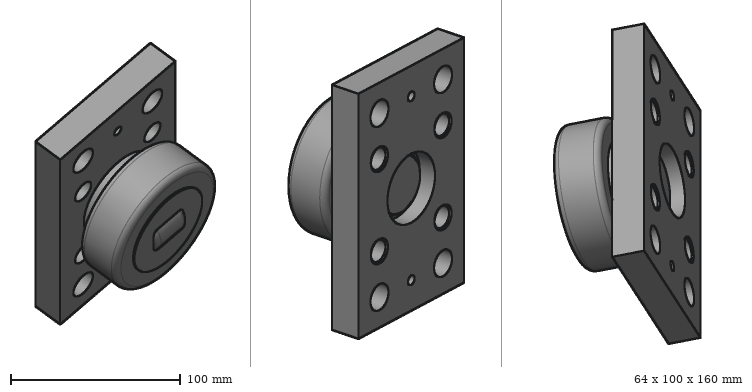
import cadquery as cq

plate_thickness = 20.0
plate_width = 100.0
plate_height = 160

hole_y = 30.0
outer_hole_z = 60.0
inner_hole_z = hole_y
outer_hole_diameter = 17.0
dowel_hole_diameter = 6.0
tapped_hole_diameter = 14.0
tapped_mouth_diameter = 16
tapped_chamfer = (tapped_mouth_diameter - tapped_hole_diameter) / 2

recess_diameter = 45.0
recess_depth = 11.5
pin_diameter = 40.6
pin_chamfer = 2.2
pin_chamfer_length = 3.8

hub_diameter = 59.0
roller_diameter = 88.3
roller_gap = 10.0
roller_width = 29.8
roller_fillet = 4.0
cap_height = 1.0

overall_depth = 64
axial_roller_diameter = 31.0
axial_roller_length = 26.0
axial_roller_fillet = 3.0

roller_start = plate_thickness + roller_gap
roller_end = roller_start + roller_width
cap_end = roller_end + cap_height


def disc(start, length, diameter):
    """Cylinder along +X beginning at the given X position."""
    return cq.Workplane("YZ", origin=(start, 0, 0)).circle(diameter / 2).extrude(length)


def frustum(start, length, start_diameter, end_diameter):
    """Cone frustum along +X beginning at the given X position."""
    return (
        cq.Workplane("YZ", origin=(start, 0, 0))
        .circle(start_diameter / 2)
        .workplane(offset=length)
        .circle(end_diameter / 2)
        .loft()
    )


def hole_grid(y, z):
    """Four points mirrored about the plate centre."""
    return [(side * y, level * z) for side in (-1, 1) for level in (-1, 1)]


def make_plate():
    plate = cq.Workplane("YZ").rect(plate_width, plate_height).extrude(plate_thickness)

    through_holes = (
        cq.Workplane("YZ")
        .pushPoints(hole_grid(hole_y, outer_hole_z))
        .circle(outer_hole_diameter / 2)
        .extrude(plate_thickness)
    )
    dowel_holes = (
        cq.Workplane("YZ")
        .pushPoints([(0, -outer_hole_z), (0, outer_hole_z)])
        .circle(dowel_hole_diameter / 2)
        .extrude(plate_thickness)
    )
    plate = plate.cut(through_holes).cut(dowel_holes)

    mouth = frustum(0, tapped_chamfer, tapped_mouth_diameter, tapped_hole_diameter)
    bore = disc(0, plate_thickness, tapped_hole_diameter)
    tapped_hole = bore.union(mouth)
    for y, z in hole_grid(hole_y, inner_hole_z):
        plate = plate.cut(tapped_hole.translate((0, y, z)))
    return plate


def make_roller():
    roller = disc(roller_start, roller_width, roller_diameter)
    return roller.edges().fillet(roller_fillet)


def make_axial_roller():
    centre_x = overall_depth - axial_roller_diameter / 2
    return (
        cq.Workplane("XZ", origin=(centre_x, 0, 0))
        .circle(axial_roller_diameter / 2)
        .extrude(axial_roller_length / 2, both=True)
        .edges("%CIRCLE")
        .fillet(axial_roller_fillet)
    )


def make_pin_end():
    """Chamfered end standing on the recess floor and narrowing toward -X."""
    tip_diameter = pin_diameter - 2 * pin_chamfer
    return frustum(recess_depth - pin_chamfer_length, pin_chamfer_length, tip_diameter, pin_diameter)


hub = disc(plate_thickness, cap_end - plate_thickness, hub_diameter)
recess = disc(0, recess_depth, recess_diameter)

result = (
    make_plate()
    .union(hub)
    .union(make_roller())
    .union(make_axial_roller())
    .cut(recess)
    .union(make_pin_end())
)